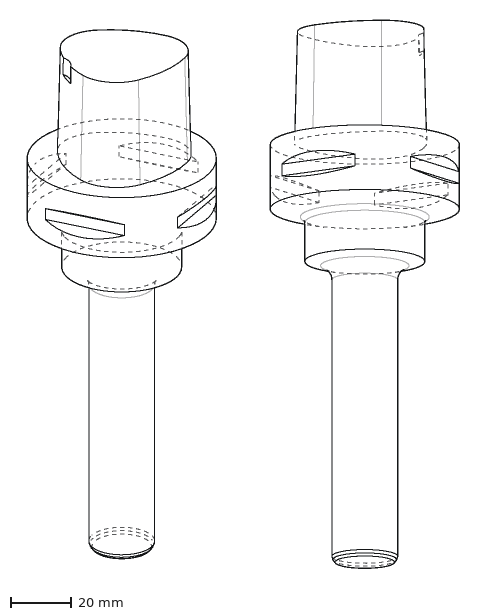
import cadquery as cq
import math

TOTAL_LENGTH = 180.0
SHANK_LENGTH = 38.0
FLANGE_THICKNESS = 22.0
COLLAR_CONE_END = 77.8

FLANGE_RADIUS = 63.0 / 2
COLLAR_RADIUS = 40.0 / 2
STEM_RADIUS = 22.0 / 2

SHOULDER_ANGLE = math.radians(15)
COLLAR_FILLET = 2.0
STEM_FILLET = 5.0

LEAD_LENGTH = 1.0
LEAD_DEPTH = 0.4
TIP_CHAMFER_LENGTH = 0.9
TIP_CHAMFER_DEPTH = 0.7

LOBE_REACH = 23.5
FLANK_REACH = 20.3
FLANK_RADIUS = 40.5
TAPER = 1 / 20
LOBE_ANGLES = (90, 210, 330)

NOTCH_RADIUS = 8.1
NOTCH_DEPTH = 1.0
NOTCH_HEIGHT = 6.1

GROOVE_ANGLES = (45, 135, 225, 315)
GROOVE_FLOOR_DISTANCE = 27.9
GROOVE_FLOOR_HEIGHT = 4.0
GROOVE_WALL_ANGLE = math.radians(30)
GROOVE_CENTER_BELOW_FACE = 11.9
GROOVE_OVERCUT = 1.8

FACE_Z = TOTAL_LENGTH - SHANK_LENGTH
FLANGE_BOTTOM_Z = FACE_Z - FLANGE_THICKNESS
COLLAR_BOTTOM_Z = TOTAL_LENGTH - COLLAR_CONE_END


def polar(radius, degrees):
    angle = math.radians(degrees)
    return radius * math.cos(angle), radius * math.sin(angle)


def shoulder(profile, outer_radius, outer_z, inner_radius, fillet):
    """Draw a cone inward from its outer edge, then a tangent fillet down to a cylinder."""
    center_r = inner_radius + fillet
    start_r = center_r - fillet * math.sin(SHOULDER_ANGLE)
    start_z = outer_z - (outer_radius - start_r) * math.tan(SHOULDER_ANGLE)
    center_z = start_z - fillet * math.cos(SHOULDER_ANGLE)
    middle_angle = (math.pi / 2 + SHOULDER_ANGLE + math.pi) / 2
    middle = (
        center_r + fillet * math.cos(middle_angle),
        center_z + fillet * math.sin(middle_angle),
    )
    return profile.lineTo(start_r, start_z).threePointArc(middle, (inner_radius, center_z))


def turned_body():
    profile = cq.Workplane("XZ").moveTo(0, FACE_Z).lineTo(FLANGE_RADIUS, FACE_Z)
    profile = profile.lineTo(FLANGE_RADIUS, FLANGE_BOTTOM_Z)
    profile = shoulder(profile, FLANGE_RADIUS, FLANGE_BOTTOM_Z, COLLAR_RADIUS, COLLAR_FILLET)
    profile = profile.lineTo(COLLAR_RADIUS, COLLAR_BOTTOM_Z)
    profile = shoulder(profile, COLLAR_RADIUS, COLLAR_BOTTOM_Z, STEM_RADIUS, STEM_FILLET)
    lead_end_radius = STEM_RADIUS - LEAD_DEPTH
    profile = (
        profile.lineTo(STEM_RADIUS, TIP_CHAMFER_LENGTH + LEAD_LENGTH)
        .lineTo(lead_end_radius, TIP_CHAMFER_LENGTH)
        .lineTo(lead_end_radius - TIP_CHAMFER_DEPTH, 0)
        .lineTo(0, 0)
        .close()
    )
    return profile.revolve(360, (0, 0, 0), (0, 1, 0))


def lobed_wire(inset, z):
    """Closed outline of three lobe arcs and three flank arcs, all tangent to each other."""
    lobe_reach = LOBE_REACH - inset
    flank_reach = FLANK_REACH - inset
    flank_radius = FLANK_RADIUS - inset
    flank_offset = flank_radius - flank_reach
    difference = flank_radius - lobe_reach
    lobe_offset = (difference**2 - flank_offset**2) / (flank_offset - 2 * difference)

    flank_center_y = flank_offset * math.sin(math.pi / 6)
    flank_center_x = flank_offset * math.cos(math.pi / 6)
    line_angle = math.atan2(lobe_offset + flank_center_y, flank_center_x)
    joint_x = flank_radius * math.cos(line_angle) - flank_center_x
    joint_y = flank_radius * math.sin(line_angle) - flank_center_y
    joint_radius = math.hypot(joint_x, joint_y)
    joint_spread = math.degrees(math.atan2(joint_x, joint_y))

    first_joint = polar(joint_radius, LOBE_ANGLES[0] - joint_spread)
    outline = cq.Workplane("XY").workplane(offset=z).moveTo(*first_joint)
    for angle in LOBE_ANGLES:
        lobe_end = polar(joint_radius, angle + joint_spread)
        next_lobe_start = polar(joint_radius, angle + 120 - joint_spread)
        outline = outline.threePointArc(polar(lobe_reach, angle), lobe_end)
        outline = outline.threePointArc(polar(flank_reach, angle + 60), next_lobe_start)
    return outline.close().val()


def shank():
    top_inset = SHANK_LENGTH * TAPER / 2
    wires = [lobed_wire(0, FACE_Z), lobed_wire(top_inset, TOTAL_LENGTH)]
    return cq.Workplane(cq.Solid.makeLoft(wires, True))


def key_notch():
    top_flank_y = -(FLANK_REACH - SHANK_LENGTH * TAPER / 2)
    return (
        cq.Workplane("XY", origin=(0, top_flank_y + NOTCH_DEPTH - NOTCH_RADIUS, TOTAL_LENGTH))
        .circle(NOTCH_RADIUS)
        .extrude(-NOTCH_HEIGHT)
    )


def gripper_groove(angle):
    """Straight trapezoidal groove that widens outward from a flat floor."""
    outer_distance = FLANGE_RADIUS + GROOVE_OVERCUT
    floor_half = GROOVE_FLOOR_HEIGHT / 2
    outer_half = floor_half + (outer_distance - GROOVE_FLOOR_DISTANCE) * math.tan(GROOVE_WALL_ANGLE)
    return (
        cq.Workplane("XZ", origin=(0, 0, FACE_Z - GROOVE_CENTER_BELOW_FACE))
        .moveTo(GROOVE_FLOOR_DISTANCE, -floor_half)
        .lineTo(outer_distance, -outer_half)
        .lineTo(outer_distance, outer_half)
        .lineTo(GROOVE_FLOOR_DISTANCE, floor_half)
        .close()
        .extrude(FLANGE_RADIUS, both=True)
        .rotate((0, 0, 0), (0, 0, 1), angle)
    )


result = turned_body().union(shank()).cut(key_notch())
for groove_angle in GROOVE_ANGLES:
    result = result.cut(gripper_groove(groove_angle))